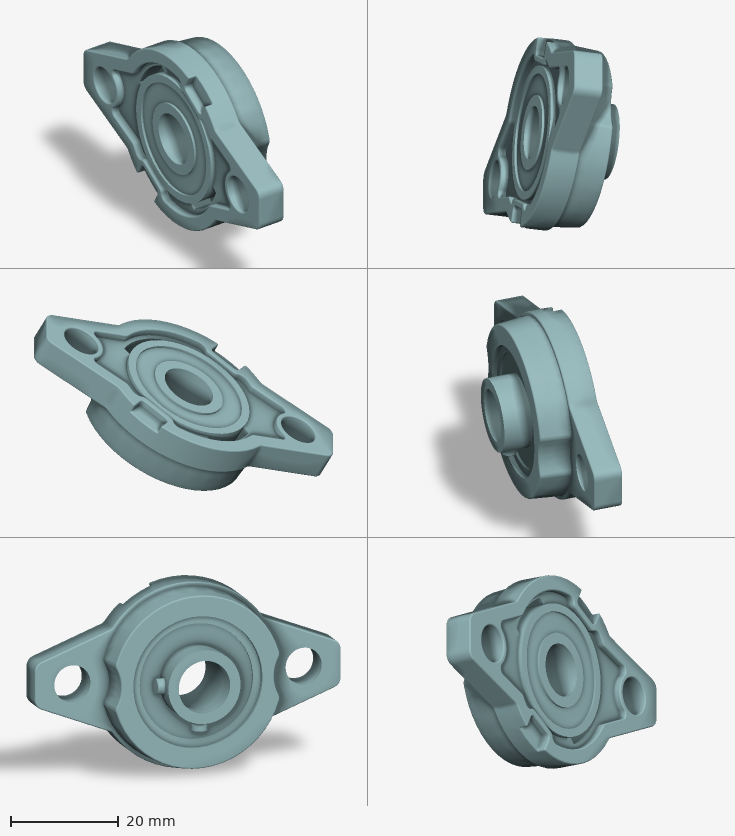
import cadquery as cq
import math


half_length = 29.75
disc_diameter = 35.5
disc_radius = disc_diameter / 2
flange_thickness = 5.55
lug_end_half_width = 4.05
flank_angle = 21.2
lug_corner_radius = 2.0
waist_radius = 1.5
edge_round = 0.3

bolt_offset = 22.5
bolt_radius = 3.5
bolt_land_radius = 4.5

boss_radius = 17.0
boss_back = 11.55
boss_draft = 5.0
bolt_head_clearance_radius = 7.15
boss_corner_radius = 1.4

pocket_depth = 1.5
rim_width = 2.85
pocket_disc_radius = disc_radius - rim_width
pocket_land_corner_radius = 1.1

notch_angles = (60.0, 240.0)
notch_width = 6.3
notch_start = 14.15
notch_depth = 1.65
notch_corner_radius = 0.85
notch_floor_radius = 0.2
notch_wall = 1.2
notch_side_wall = 0.95
notch_wall_corner_radius = 1.2

ring_radius = 12.55
ring_front = 0.55
ring_back = 10.55
ring_inner_radius = 11.0
hub_radius = 7.0
bore_radius = 5.0
hub_front = ring_front
hub_back = 15.5
seal_recess = 0.5

slot_angles = (135.0, 315.0)
slot_radius = 14.0
slot_half_width = 5.35
slot_depth = flange_thickness

screw_radius = 1.5
screw_length = 3.85
screw_y = 12.4
screw_chamfer = 0.2
screw_point_radius = 0.2
screw_point_length = screw_radius - screw_point_radius
screw_places = (
    (0.0, 8.45),
    (-90.0, 9.05),
)

surface_tolerance = 0.05


def sketch_at(y):
    """Workplane facing forwards (-Y), with local X along +X and local Y along +Z."""
    return cq.Workplane(cq.Plane(origin=(0, y, 0), xDir=(1, 0, 0), normal=(0, -1, 0)))


def disc(radius, y_front, y_back, x=0.0):
    return sketch_at(y_front).center(x, 0).circle(radius).extrude(y_front - y_back)


def turned(radial_part, angle):
    """Swing a part made along +X to the given angle from +X towards +Z."""
    return radial_part.rotate((0, 0, 0), (0, 1, 0), -angle)


def lug_plate(thickness, inset=0.0):
    """Six-sided plate of both lugs, its flanks moved in by the inset."""
    flank_slope = math.tan(math.radians(flank_angle))
    inset_drop = inset / math.cos(math.radians(flank_angle))
    end_z = lug_end_half_width - inset_drop
    peak_z = end_z + half_length * flank_slope
    points = [
        (half_length, -end_z),
        (half_length, end_z),
        (0, peak_z),
        (-half_length, end_z),
        (-half_length, -end_z),
        (0, -peak_z),
    ]
    return sketch_at(0).polyline(points).close().extrude(-thickness)


def edges_on_cylinder(part, radius, x=0.0):
    """Straight edges along Y that lie on a cylinder about the axis at x."""
    def on_cylinder(edge):
        middle = edge.Center()
        return abs(math.hypot(middle.x - x, middle.z) - radius) < surface_tolerance

    return part.newObject(part.edges("|Y").filter(on_cylinder).vals())


def drafted_disc(radius, height, draft, x=0.0):
    """Disc behind the flange whose wall leans outwards towards the rear by the draft angle."""
    growth = height * math.tan(math.radians(draft))
    cone = cq.Solid.makeCone(
        radius, radius + growth, height, pnt=cq.Vector(x, flange_thickness, 0), dir=cq.Vector(0, 1, 0)
    )
    return cq.Workplane(cone)


def make_flange():
    lugs = lug_plate(flange_thickness).edges("|Y and (<X or >X)").fillet(lug_corner_radius)
    flange = lugs.union(disc(disc_radius, 0, flange_thickness))
    flange = edges_on_cylinder(flange, disc_radius).fillet(waist_radius)
    return flange.faces(">Y").edges().fillet(edge_round)


def is_boss_corner(edge):
    """True for the edges from front to back where the boss meets its bolt head clearances."""
    middle = edge.Center()
    between_faces = flange_thickness + surface_tolerance < middle.y < boss_back - surface_tolerance
    return between_faces and abs(middle.x) > boss_radius / 2


def make_boss():
    height = boss_back - flange_thickness
    boss = drafted_disc(boss_radius, height, -boss_draft)
    for side in (-1, 1):
        clearance = drafted_disc(bolt_head_clearance_radius, height, boss_draft, side * bolt_offset)
        boss = boss.cut(clearance)
    corners = boss.edges().filter(is_boss_corner).vals()
    boss = boss.newObject(corners).fillet(boss_corner_radius)
    return boss.faces(">Y").edges().fillet(edge_round)


def notch_block(angle, start, width, depth, corner_radius):
    """Rounded block that runs outwards from the start radius through the rim."""
    length = half_length - start
    block = cq.Workplane().box(length, depth, width).edges("|Y and <X").fillet(corner_radius)
    return turned(block.translate((start + length / 2, depth / 2, 0)), angle)


def make_notch(angle):
    notch = notch_block(angle, notch_start, notch_width, notch_depth, notch_corner_radius)
    return notch.faces(">Y").edges().fillet(notch_floor_radius)


def make_notch_surround(angle):
    """The notch together with the wall that keeps it apart from the pocket."""
    width = notch_width + 2 * notch_side_wall
    return notch_block(angle, notch_start - notch_wall, width, pocket_depth, notch_wall_corner_radius)


def make_pocket():
    pocket = lug_plate(pocket_depth, rim_width).union(disc(pocket_disc_radius, 0, pocket_depth))
    for side in (-1, 1):
        bolt_x = side * bolt_offset
        lug_end = sketch_at(0).center(2 * bolt_x, 0).rect(2 * bolt_offset, 2 * bolt_offset)
        pocket = pocket.cut(lug_end.extrude(-pocket_depth))
        pocket = pocket.cut(disc(bolt_land_radius, 0, pocket_depth, bolt_x))
        pocket = edges_on_cylinder(pocket, bolt_land_radius, bolt_x).fillet(pocket_land_corner_radius)
    for angle in notch_angles:
        pocket = pocket.cut(make_notch_surround(angle))
    return edges_on_cylinder(pocket, pocket_disc_radius).fillet(waist_radius)


def make_slot(angle):
    """Arc-ended slot beside the bearing, cut in from the front."""
    slab = cq.Workplane().box(slot_radius, slot_depth, 2 * slot_half_width)
    slab = turned(slab.translate((slot_radius / 2, slot_depth / 2, 0)), angle)
    return slab.intersect(disc(slot_radius, 0, slot_depth))


def notch_mouth_edges(housing):
    """Edges where the side walls and floors of the notches break out through the disc's rim."""
    mouth = []
    for edge in housing.edges().vals():
        middle = edge.positionAt(0.5)
        on_rim = abs(math.hypot(middle.x, middle.z) - disc_radius) < surface_tolerance
        if on_rim and edge_round < middle.y < notch_depth + surface_tolerance:
            mouth.append(edge)
    return mouth


def make_housing():
    housing = make_flange().union(make_boss()).cut(make_pocket())
    for side in (-1, 1):
        housing = housing.cut(disc(bolt_radius, 0, boss_back, side * bolt_offset))
    for angle in notch_angles:
        housing = housing.cut(make_notch(angle))
    rounded_edges = housing.faces("<Y").edges().vals() + notch_mouth_edges(housing)
    housing = housing.newObject(rounded_edges).fillet(edge_round)
    for angle in slot_angles:
        housing = housing.cut(make_slot(angle))
    return housing.cut(disc(ring_radius, 0, boss_back))


def make_screw(angle, end):
    """Pointed set screw whose outer end lies at the given distance from the bore axis."""
    tip = end - screw_length
    profile = [
        (tip, 0),
        (tip, screw_point_radius),
        (tip + screw_point_length, screw_radius),
        (end - screw_chamfer, screw_radius),
        (end, screw_radius - screw_chamfer),
        (end, 0),
    ]
    screw = cq.Workplane("XY").polyline(profile).close().revolve(360, (0, 0, 0), (1, 0, 0))
    return turned(screw.translate((0, screw_y, 0)), angle)


def make_bearing(screws):
    """Outer ring, recessed seals and long hub in one, drilled for the set screws."""
    bearing = disc(ring_radius, ring_front, ring_back)
    bearing = bearing.cut(disc(ring_inner_radius, ring_front, ring_front + seal_recess))
    bearing = bearing.cut(disc(ring_inner_radius, ring_back - seal_recess, ring_back))
    bearing = bearing.union(disc(hub_radius, hub_front, hub_back)).cut(disc(bore_radius, 0, hub_back))
    for screw in screws:
        bearing = bearing.cut(screw)
    return bearing


housing = make_housing()
screws = [make_screw(angle, end) for angle, end in screw_places]
bearing = make_bearing(screws)

result = cq.Compound.makeCompound([housing.val(), bearing.val(), *[screw.val() for screw in screws]])